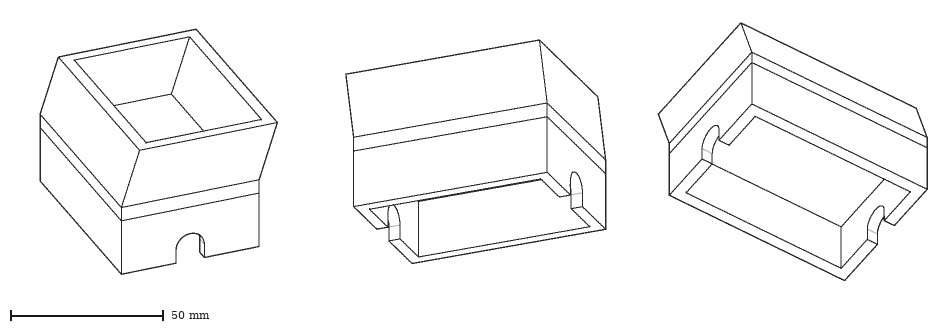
import cadquery as cq

length = 69.0
depth = 49.0
wall = 4.0

base_height = 20.0
plate_height = 5.0
bin_height = 20.0
bin_lean = 6.5

opening_width = 10.0
opening_height = 10.0

plate_bottom = base_height
bin_bottom = plate_bottom + plate_height


def leaning_block(block_length, block_depth):
    """Centred block with the bin's height, leaning toward +Y as it rises."""
    half_depth = block_depth / 2
    bin_top = bin_bottom + bin_height
    return (
        cq.Workplane("YZ")
        .moveTo(-half_depth, bin_bottom)
        .lineTo(half_depth, bin_bottom)
        .lineTo(half_depth + bin_lean, bin_top)
        .lineTo(-half_depth + bin_lean, bin_top)
        .close()
        .extrude(block_length / 2, both=True)
    )


def end_wall_opening():
    """Round-topped cutter running the full length of the base along X."""
    radius = opening_width / 2
    spring_height = opening_height - radius
    return (
        cq.Workplane("YZ")
        .moveTo(-radius, 0)
        .lineTo(-radius, spring_height)
        .threePointArc((0, opening_height), (radius, spring_height))
        .lineTo(radius, 0)
        .close()
        .extrude(length / 2, both=True)
    )


def make_base():
    """Rectangular frame, open above and below, with an opening in each end wall."""
    frame = (
        cq.Workplane("XY")
        .rect(length, depth)
        .rect(length - 2 * wall, depth - 2 * wall)
        .extrude(base_height)
    )
    return frame.cut(end_wall_opening())


def make_plate():
    """Flat plate that covers the base and forms the floor of the bin."""
    return cq.Workplane("XY", origin=(0, 0, plate_bottom)).rect(length, depth).extrude(plate_height)


def make_bin():
    """Leaning frame, open above and below, standing on the plate."""
    outside = leaning_block(length, depth)
    cavity = leaning_block(length - 2 * wall, depth - 2 * wall)
    return outside.cut(cavity)


base = make_base()
plate = make_plate()
leaning_bin = make_bin()

result = cq.Compound.makeCompound([base.solids().val(), plate.val(), leaning_bin.solids().val()])